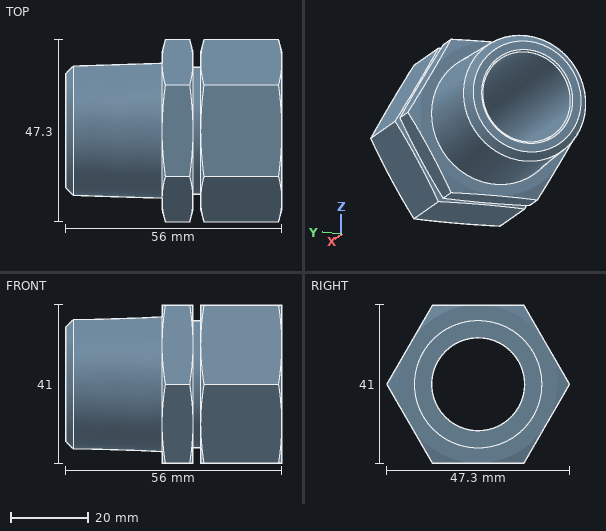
import cadquery as cq
import math


overall_length = 56.0
stud_length = 25.0
hex_collar_length = 8.0
neck_gap = 2.0
collar_end = stud_length + hex_collar_length
nut_start = collar_end + neck_gap
nut_length = overall_length - nut_start

across_flats = 41.0
across_corners = across_flats / math.cos(math.radians(30))
hex_chamfer_angle = 15.0

stud_base_radius = 17.5
stud_end_chamfer = 2.0
thread_taper = 1 / 16
stud_small_radius = stud_base_radius - (stud_length - stud_end_chamfer) * thread_taper / 2

bore_radius = 12.0
bore_chamfer = 0.5
neck_radius = 16.5


def chamfered_hex(start, length):
    """Hexagonal prism along X with flats facing +Z and -Z and both ends turned to a cone."""
    end = start + length
    face_radius = across_flats / 2
    corner_radius = across_corners / 2
    chamfer_length = (corner_radius - face_radius) * math.tan(math.radians(hex_chamfer_angle))
    prism = (
        cq.Workplane("YZ", origin=(start, 0, 0))
        .polygon(6, across_corners)
        .extrude(length)
    )
    turned_envelope = (
        cq.Workplane("XY")
        .moveTo(start, 0)
        .lineTo(start, face_radius)
        .lineTo(start + chamfer_length, corner_radius)
        .lineTo(end - chamfer_length, corner_radius)
        .lineTo(end, face_radius)
        .lineTo(end, 0)
        .close()
        .revolve(360, (0, 0, 0), (1, 0, 0))
    )
    return prism.intersect(turned_envelope)


def turned_stud_and_neck():
    """Bored tube: chamfered tapered stud on one side of the collar, plain neck on the other."""
    return (
        cq.Workplane("XY")
        .moveTo(0, bore_radius + bore_chamfer)
        .lineTo(0, stud_small_radius - stud_end_chamfer)
        .lineTo(stud_end_chamfer, stud_small_radius)
        .lineTo(stud_length, stud_base_radius)
        .lineTo(stud_length, neck_radius)
        .lineTo(overall_length, neck_radius)
        .lineTo(overall_length, bore_radius)
        .lineTo(bore_chamfer, bore_radius)
        .close()
        .revolve(360, (0, 0, 0), (1, 0, 0))
    )


def cylinder_along_x(start, length, radius):
    return cq.Workplane("YZ", origin=(start, 0, 0)).circle(radius).extrude(length)


def build_stud_body():
    collar = chamfered_hex(stud_length, hex_collar_length)
    collar = collar.cut(cylinder_along_x(stud_length, hex_collar_length, bore_radius))
    return turned_stud_and_neck().union(collar)


def build_union_nut():
    """Nut whose plain hole fits around the neck of the stud body."""
    hole = cylinder_along_x(nut_start, nut_length, neck_radius)
    return chamfered_hex(nut_start, nut_length).cut(hole)


stud_body = build_stud_body()
union_nut = build_union_nut()

result = cq.Compound.makeCompound([stud_body.solids().val(), union_nut.solids().val()])